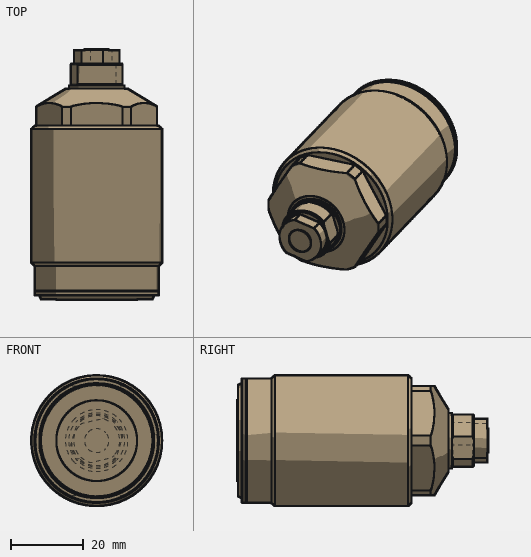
import cadquery as cq

overall_length = 69.0

pad_radius = 11.1
pad_height = 0.2
rim_front_radius = 15.3
rim_back_radius = 15.8
ring_front_y = 1.25
ring_radius = 17.1
ring_chamfer = 0.2
groove_front_y = 2.35
groove_back_y = 2.7
groove_depth = 0.15

barrel_radius = 18.0
barrel_front_y = 9.4
barrel_back_y = 47.95
barrel_chamfer = 1.0

hex_apothem = 15.05
hex_corner_radius = 16.6
hex_shoulder_y = 53.1
hex_edge_chamfer = 0.3
hex_first_flat_angle = 30.0
hex_flats = 6
cone_back_radius = 8.55
cone_back_y = 58.1

flat_count = 2

flange_radius = 7.65
flange_back_y = 59.0
nut_radius = 7.25
nut_apothem = 6.5
nut_flat_angle = 163.0
nut_chamfer = 0.35
nut_back_y = 65.0

cap_radius = 6.3
cap_apothem = 5.5
flat_angle_offset = -60.0
cap_flat_angle = nut_flat_angle + flat_angle_offset
cap_disc_radius = 3.3
cap_disc_height = 0.3


def turned(profile):
    """Revolve (radius, y) points, closed along the axis, about the Y axis."""
    points = [(0, profile[0][1]), *profile, (0, profile[-1][1])]
    return cq.Workplane("XY").polyline(points).close().revolve(360, (0, 0, 0), (0, 1, 0))


def cut_flats(body, apothem, outer_radius, first_angle, count, start_y, end_y):
    """Cut equally spaced flats; angles run from +X towards +Z."""
    margin = 0.7
    depth = outer_radius - apothem + margin
    length = end_y - start_y
    for index in range(count):
        angle = first_angle + index * 360.0 / count
        cutter = (
            cq.Workplane("XY")
            .box(depth, length, 2 * outer_radius)
            .translate((apothem + depth / 2, (start_y + end_y) / 2, 0))
            .rotate((0, 0, 0), (0, 1, 0), -angle)
        )
        body = body.cut(cutter)
    return body


def make_housing():
    groove_radius = ring_radius - groove_depth
    barrel_end_radius = barrel_radius - barrel_chamfer
    profile = [
        (pad_radius, 0),
        (pad_radius, pad_height),
        (rim_front_radius, pad_height),
        (rim_back_radius, ring_front_y),
        (ring_radius - ring_chamfer, ring_front_y),
        (ring_radius, ring_front_y + ring_chamfer),
        (ring_radius, groove_front_y),
        (groove_radius, groove_front_y),
        (groove_radius, groove_back_y),
        (ring_radius, groove_back_y),
        (ring_radius, barrel_front_y),
        (barrel_radius, barrel_front_y + barrel_chamfer),
        (barrel_radius, barrel_back_y - barrel_chamfer),
        (barrel_end_radius, barrel_back_y),
        (hex_corner_radius, barrel_back_y),
        (hex_corner_radius, hex_shoulder_y),
        (hex_corner_radius - hex_edge_chamfer, hex_shoulder_y + hex_edge_chamfer),
        (cone_back_radius, cone_back_y),
    ]
    return cut_flats(
        turned(profile),
        hex_apothem,
        hex_corner_radius,
        hex_first_flat_angle,
        hex_flats,
        barrel_back_y,
        cone_back_y,
    )


def make_gland():
    flange = turned([(flange_radius, cone_back_y), (flange_radius, flange_back_y)])
    nut = turned([
        (nut_radius - nut_chamfer, flange_back_y),
        (nut_radius, flange_back_y + nut_chamfer),
        (nut_radius, nut_back_y - nut_chamfer),
        (nut_radius - nut_chamfer, nut_back_y),
    ])
    nut = cut_flats(nut, nut_apothem, nut_radius, nut_flat_angle, flat_count, flange_back_y, nut_back_y)
    return flange.union(nut)


def make_cap():
    shoulder_y = overall_length - cap_disc_height
    body = turned([
        (cap_radius, nut_back_y),
        (cap_radius, shoulder_y),
        (cap_disc_radius, shoulder_y),
        (cap_disc_radius, overall_length),
    ])
    return cut_flats(body, cap_apothem, cap_radius, cap_flat_angle, flat_count, nut_back_y, shoulder_y)


housing = make_housing()
gland = make_gland()
cap = make_cap()

result = cq.Compound.makeCompound([housing.val(), gland.val(), cap.val()])